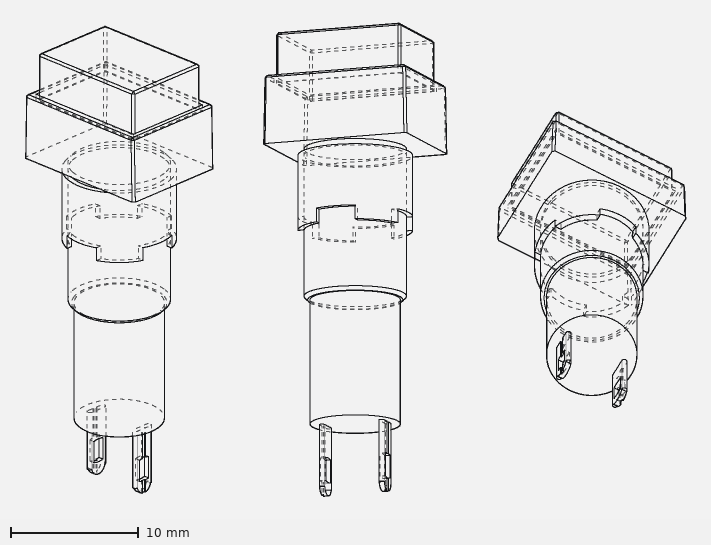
import cadquery as cq

overall_height = 36.5

bezel_length = 12.0
bezel_width = 9.0
bezel_height = 5.48
bezel_draft = 0.1
edge_chamfer = 0.2

button_length = 10.45
button_width = 7.5
button_proud = 3.5
button_gap = 0.1
pocket_depth = 0.5

barrel_radius = 4.0
barrel_length = 12.05
barrel_chamfer = 0.3
base_radius = 3.55
base_end = 21.97

nut_radius = 4.5
nut_height = 6.0
nut_clearance = 0.5
notch_width = 3.2
notch_depth = 1.1

terminal_spacing = 5.0
terminal_thickness = 0.45
terminal_width = 1.9
terminal_length = overall_height - button_proud - bezel_height - base_end
terminal_edge_radius = terminal_thickness / 2
terminal_tip_radius = terminal_width / 2 - terminal_edge_radius
rounded_edge_to_tip = 0.62
eyelet_width = 1.0
eyelet_height = 1.97
eyelet_to_tip = 1.05
eyelet_bow = 0.07
groove_width = 0.33
groove_depth = 0.1


def box_on(length, width, height, bottom):
    """Box centred on the Z axis with its underside at the given height."""
    return cq.Workplane("XY", origin=(0, 0, bottom)).rect(length, width).extrude(height)


def disc(radius, height, top):
    """Cylinder on the Z axis that hangs down from the given height."""
    return cq.Workplane("XY", origin=(0, 0, top)).circle(radius).extrude(-height)


def make_bezel():
    """Block with leaning end faces, chamfered corners and rim, and a shallow pocket for the button."""
    half_bottom = bezel_length / 2
    half_top = half_bottom - bezel_draft
    end_profile = [
        (-half_bottom, 0),
        (half_bottom, 0),
        (half_top, bezel_height),
        (-half_top, bezel_height),
    ]
    block = cq.Workplane("XZ").polyline(end_profile).close().extrude(bezel_width / 2, both=True)
    block = block.faces(">Z or >Y or <Y").edges("not <Z").chamfer(edge_chamfer)
    pocket = box_on(
        button_length + 2 * button_gap,
        button_width + 2 * button_gap,
        pocket_depth,
        bezel_height - pocket_depth,
    )
    return block.cut(pocket)


def make_terminal(side):
    """Solder terminal on the +X (side = 1) or -X (side = -1) half, grooved on its outer face."""
    tip = -base_end - terminal_length
    along_y = 90
    blade = (
        cq.Workplane("XY", origin=(0, 0, tip + rounded_edge_to_tip))
        .slot2D(terminal_width, terminal_thickness, along_y)
        .extrude(terminal_length - rounded_edge_to_tip)
    )
    rounded_tip = (
        cq.Workplane("YZ")
        .center(0, tip + terminal_tip_radius)
        .circle(terminal_tip_radius)
        .extrude(terminal_thickness / 2, both=True)
    )
    eyelet_bottom = tip + eyelet_to_tip
    eyelet_top = eyelet_bottom + eyelet_height
    half_eyelet = eyelet_width / 2
    eyelet = (
        cq.Workplane("YZ")
        .moveTo(-half_eyelet, eyelet_bottom + eyelet_bow)
        .threePointArc((0, eyelet_bottom), (half_eyelet, eyelet_bottom + eyelet_bow))
        .lineTo(half_eyelet, eyelet_top - eyelet_bow)
        .threePointArc((0, eyelet_top), (-half_eyelet, eyelet_top - eyelet_bow))
        .close()
        .extrude(terminal_thickness, both=True)
    )
    groove = box_on(2 * groove_depth, groove_width, terminal_length, tip).translate(
        (side * terminal_thickness / 2, 0, 0)
    )
    terminal = blade.union(rounded_tip).cut(eyelet).cut(groove)
    return terminal.translate((side * terminal_spacing / 2, 0, 0))


def make_housing():
    """Bezel, barrel, base and both terminals as one body."""
    barrel = disc(barrel_radius, barrel_length, 0)
    barrel = barrel.faces("<Z").chamfer(barrel_chamfer)
    base = disc(base_radius, base_end, 0)
    housing = make_bezel().union(barrel).union(base)
    for side in (-1, 1):
        housing = housing.union(make_terminal(side))
    return housing


def make_button():
    """Block with chamfered upright edges and top rim, standing in the bezel pocket."""
    button_height = pocket_depth + button_proud
    blank = box_on(button_length, button_width, button_height, bezel_height - pocket_depth)
    return blank.edges("|Z or >Z").chamfer(edge_chamfer)


def make_ring_nut():
    """Plain ring round the barrel, with four spanner notches in its lower end."""
    top = -nut_clearance
    bottom = top - nut_height
    nut = disc(nut_radius, nut_height, top).cut(disc(barrel_radius, nut_height, top))
    nut_diameter = 2 * nut_radius
    for length, width in ((nut_diameter, notch_width), (notch_width, nut_diameter)):
        nut = nut.cut(box_on(length, width, notch_depth, bottom))
    return nut


housing = make_housing()
button = make_button()
ring_nut = make_ring_nut()

result = cq.Compound.makeCompound([housing.val(), button.val(), ring_nut.val()])